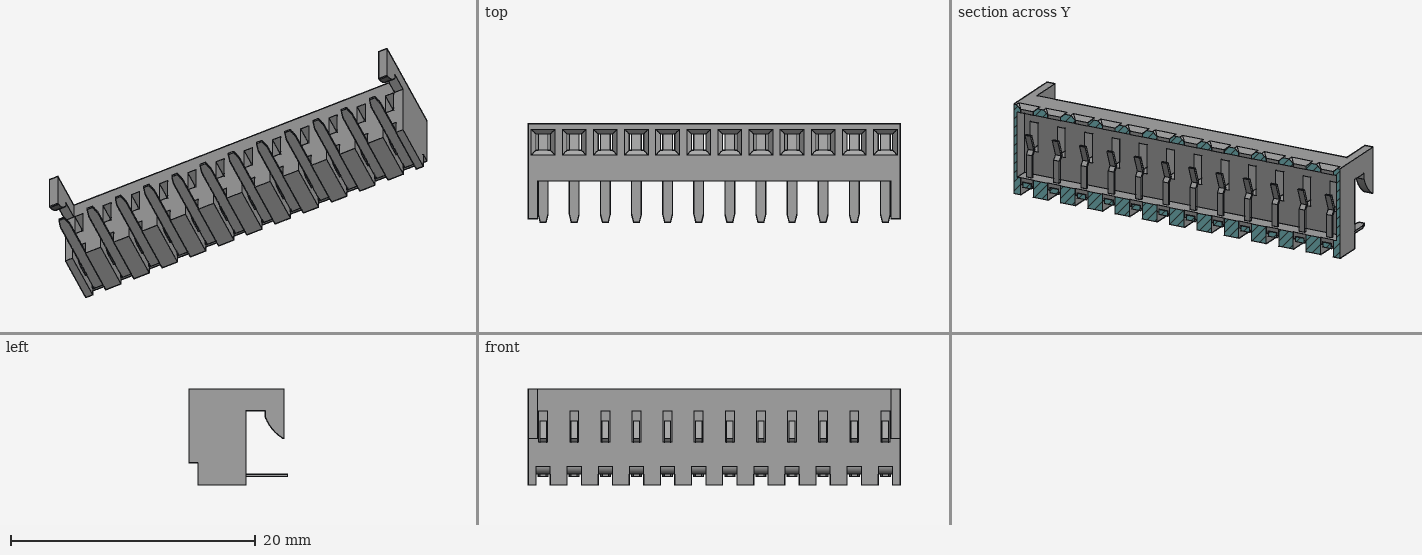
import cadquery as cq
import math


LENGTH = 30.38
HEIGHT = 7.87
BODY_DEPTH = 4.68
STEP_DEPTH = 0.73
STEP_HEIGHT = 1.82

CONTACT_COUNT = 12
END_MARGIN = 1.22
PITCH = (LENGTH - 2 * END_MARGIN) / (CONTACT_COUNT - 1)

ARM_THICKNESS = 0.75
ARM_REACH = 7.78
ARM_UNDERSIDE = 6.08
HOOK_WIDTH = 1.55
HOOK_ROOT_HEIGHT = 5.55
HOOK_TIP_HEIGHT = 3.83
HOOK_TIP_WIDTH = 0.12
HOOK_BULGE = 0.18

THROAT_WIDTH = 1.15
THROAT_BACK = 0.85
THROAT_FRONT = 2.15
MOUTH_FLARE = 0.4
MOUTH_DEPTH = 0.35

HOLLOW_END_WALL = 0.33
HOLLOW_FRONT = 3.35
HOLLOW_TOP = 7.2

WINDOW_WIDTH = 0.73
WINDOW_BOTTOM = 3.52
WINDOW_TOP = 6.08

NOTCH_HEIGHT = 1.52
NOSE_FRONT = 3.65

PIN_WIDTH = 0.82
PIN_THICKNESS = 0.2
PIN_BOTTOM = 0.7
PIN_REACH = 8.05
PIN_TIP_WIDTH = 0.5
PIN_TIP_LENGTH = 0.67
BASE_TILT = 11.3
SPRING_WIDTH = 0.52
SPRING_THICKNESS = 0.2
SPRING_FOOT = 2.73
KNEE_DEPTH = 3.05
KNEE_HEIGHT = 3.83
KNEE_UNDERSIDE = 3.45
SPRING_TOP = 5.25
SPRING_TOP_DEPTH = 2.5

PIN_TOP = PIN_BOTTOM + PIN_THICKNESS
NOSE_RADIUS = NOTCH_HEIGHT - PIN_TOP


def box(width, y_back, y_front, z_bottom, z_top):
    """Box centred on X, between two distances from the back face and two heights."""
    return (
        cq.Workplane("XY")
        .box(width, y_front - y_back, z_top - z_bottom, centered=(True, False, False))
        .translate((0, -y_front, z_bottom))
    )


def side_profile(points):
    """Closed YZ polygon given as (distance from back face, height)."""
    return cq.Workplane("YZ").polyline([(-depth, height) for depth, height in points]).close()


def make_body():
    outline = [
        (0, HEIGHT),
        (BODY_DEPTH, HEIGHT),
        (BODY_DEPTH, 0),
        (STEP_DEPTH, 0),
        (STEP_DEPTH, STEP_HEIGHT),
        (0, STEP_HEIGHT),
    ]
    return side_profile(outline).extrude(LENGTH / 2, both=True)


def make_arm(side):
    """Latch arm flush with one end; its hook has a convex inner edge."""
    root_y = HOOK_WIDTH - ARM_REACH
    tip_y = HOOK_TIP_WIDTH - ARM_REACH
    run = root_y - tip_y
    drop = HOOK_ROOT_HEIGHT - HOOK_TIP_HEIGHT
    chord = math.hypot(run, drop)
    bulge_point = (
        (root_y + tip_y) / 2 + HOOK_BULGE * drop / chord,
        (HOOK_ROOT_HEIGHT + HOOK_TIP_HEIGHT) / 2 - HOOK_BULGE * run / chord,
    )
    arm = (
        cq.Workplane("YZ")
        .moveTo(-BODY_DEPTH, HEIGHT)
        .lineTo(-ARM_REACH, HEIGHT)
        .lineTo(-ARM_REACH, HOOK_TIP_HEIGHT)
        .lineTo(tip_y, HOOK_TIP_HEIGHT)
        .threePointArc(bulge_point, (root_y, HOOK_ROOT_HEIGHT))
        .lineTo(root_y, ARM_UNDERSIDE)
        .lineTo(-BODY_DEPTH, ARM_UNDERSIDE)
        .close()
        .extrude(ARM_THICKNESS / 2, both=True)
    )
    return arm.translate((side * (LENGTH - ARM_THICKNESS) / 2, 0, 0))


def make_cavity():
    """Throat through the full height with a flared mouth on top."""
    throat = box(THROAT_WIDTH, THROAT_BACK, THROAT_FRONT, 0, HEIGHT)
    throat_depth = THROAT_FRONT - THROAT_BACK
    mouth = (
        cq.Workplane("XY")
        .workplane(offset=HEIGHT)
        .center(0, -(THROAT_BACK + THROAT_FRONT) / 2)
        .rect(THROAT_WIDTH + 2 * MOUTH_FLARE, throat_depth + 2 * MOUTH_FLARE)
        .workplane(offset=-MOUTH_DEPTH)
        .rect(THROAT_WIDTH, throat_depth)
        .loft(ruled=True)
    )
    return throat.union(mouth)


def make_window():
    return box(WINDOW_WIDTH, HOLLOW_FRONT, BODY_DEPTH, WINDOW_BOTTOM, WINDOW_TOP)


def make_hollow():
    return box(LENGTH - 2 * HOLLOW_END_WALL, THROAT_BACK, HOLLOW_FRONT, NOTCH_HEIGHT, HOLLOW_TOP)


def make_notch():
    """Notch through the full depth; its roof drops to the pin behind a quarter-round nose."""
    low_part = box(THROAT_WIDTH, 0, BODY_DEPTH, 0, PIN_TOP)
    diagonal = NOSE_RADIUS * math.sqrt(0.5)
    high_part = (
        cq.Workplane("YZ")
        .moveTo(-BODY_DEPTH, PIN_TOP)
        .lineTo(-BODY_DEPTH, NOTCH_HEIGHT)
        .lineTo(-NOSE_FRONT, NOTCH_HEIGHT)
        .threePointArc(
            (NOSE_RADIUS - NOSE_FRONT - diagonal, NOTCH_HEIGHT - diagonal),
            (NOSE_RADIUS - NOSE_FRONT, PIN_TOP),
        )
        .close()
        .extrude(THROAT_WIDTH / 2, both=True)
    )
    return low_part.union(high_part)


def make_contact():
    """Flat pin with a tapered tip, a tilted base below the throat and a bowed spring."""
    pin = (
        cq.Workplane("XY")
        .workplane(offset=PIN_BOTTOM)
        .moveTo(-PIN_WIDTH / 2, -THROAT_FRONT)
        .lineTo(-PIN_WIDTH / 2, PIN_TIP_LENGTH - PIN_REACH)
        .lineTo(-PIN_TIP_WIDTH / 2, -PIN_REACH)
        .lineTo(PIN_TIP_WIDTH / 2, -PIN_REACH)
        .lineTo(PIN_WIDTH / 2, PIN_TIP_LENGTH - PIN_REACH)
        .lineTo(PIN_WIDTH / 2, -THROAT_FRONT)
        .close()
        .extrude(PIN_THICKNESS)
    )
    base_rise = (THROAT_FRONT - THROAT_BACK) * math.tan(math.radians(BASE_TILT))
    base_outline = [
        (THROAT_BACK, PIN_BOTTOM),
        (THROAT_FRONT, PIN_BOTTOM),
        (THROAT_FRONT, PIN_TOP + base_rise),
        (THROAT_BACK, PIN_TOP),
    ]
    base = side_profile(base_outline).extrude(PIN_WIDTH / 2, both=True)
    spring_front = [
        (SPRING_FOOT, PIN_TOP),
        (SPRING_FOOT, KNEE_UNDERSIDE),
        (KNEE_DEPTH, KNEE_HEIGHT),
        (SPRING_TOP_DEPTH, SPRING_TOP),
    ]
    spring_back = [(depth - SPRING_THICKNESS, height) for depth, height in reversed(spring_front)]
    spring = side_profile(spring_front + spring_back).extrude(SPRING_WIDTH / 2, both=True)
    return pin.union(base).union(spring)


housing = make_body().cut(make_hollow())
for end in (-1, 1):
    housing = housing.union(make_arm(end))

contact_positions = [END_MARGIN - LENGTH / 2 + i * PITCH for i in range(CONTACT_COUNT)]
contact_space = make_cavity().union(make_window()).union(make_notch())
contact = make_contact()
for x in contact_positions:
    housing = housing.cut(contact_space.translate((x, 0, 0)))
for x in contact_positions:
    housing = housing.union(contact.translate((x, 0, 0)))

result = housing